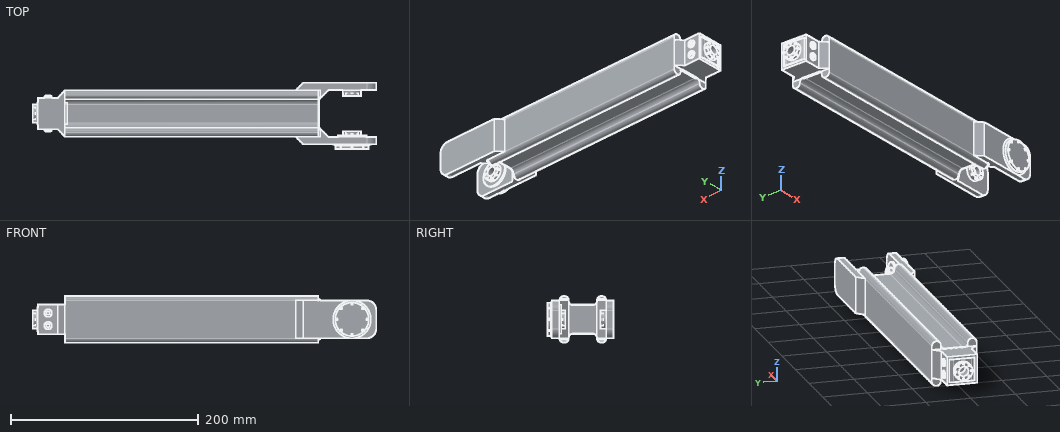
import cadquery as cq
import math

TOTAL_LENGTH = 367.0

BEAM_START = 34.5
BEAM_LENGTH = 270.6
BEAM_END = BEAM_START + BEAM_LENGTH
BEAM_HALF_SIZE = 25.0
RAIL_RADIUS = 4.8
RAIL_WIDTH = 10.0
WEB_HALF_HEIGHT = 15.0
CHANNEL_FILLET = 5.0
RAIL_INNER = BEAM_HALF_SIZE - RAIL_WIDTH
CHANNEL_HALF_FLAT = RAIL_INNER - CHANNEL_FILLET
CHANNEL_SPRING = WEB_HALF_HEIGHT + CHANNEL_FILLET

BRACKET_START = 5.6
BRACKET_HALF_WIDTH = 16.8
BRACKET_HALF_HEIGHT = 16.0
BRACKET_TAPER_START = 26.8
LIP_LENGTH = 2.2
LIP_STEP = 0.6
BRACKET_LIP_HALF_WIDTH = 11.5

ACTUATOR_HALF_WIDTH = 14.2
ACTUATOR_HALF_HEIGHT = 12.8
ACTUATOR_FACE_HALF_WIDTH = 10.0
ACTUATOR_PROUD = 0.9
ACTUATOR_FACE = BRACKET_START - ACTUATOR_PROUD
ACTUATOR_DEPTH = 20.0

HORN_RADIUS = 9.9
HORN_BORE_RADIUS = 5.3
HORN_BORE_DEPTH = 12.0
HORN_HOLE_COUNT = 8
HORN_HOLE_CIRCLE = 8.4
HORN_HOLE_RADIUS = 0.8
HORN_HOLE_DEPTH = 3.0

SCREW_X = 16.5
SCREW_HALF_PITCH = 6.7
SCREW_HEAD_RADIUS = 4.1
SCREW_HEAD_HEIGHT = 3.2
SCREW_DOME_HEIGHT = 2.0
SCREW_DOME_RADIUS = (SCREW_HEAD_RADIUS**2 + SCREW_DOME_HEIGHT**2) / (2 * SCREW_DOME_HEIGHT)
SCREW_SOCKET_SIZE = 3.5
SCREW_SOCKET_DEPTH = 1.8

ARM_THICKNESS = 8.0
ARM_OUTER = BEAM_HALF_SIZE + ARM_THICKNESS
ARM_HALF_HEIGHT = 20.4
ARM_START = 281.0
ARM_CORNER_RADIUS = 10.5
FORK_PLATE_THICKNESS = 0.8
FORK_PLATE_END = BEAM_END + FORK_PLATE_THICKNESS
FORK_TAPER = BEAM_HALF_SIZE - RAIL_INNER
FORK_LIP_RISE = 1.5

PIVOT_X = 341.0
HORN_TIP = 18.7
JOINT_BARREL_RADIUS = 15.5
JOINT_BARREL_TIP = 23.2
JOINT_FLANGE_RADIUS = 20.2
JOINT_FLANGE_THICKNESS = 1.2
JOINT_CAP_RADIUS = 17.9
JOINT_CAP_FACE = 38.0
CAP_HOLE_COUNT = 8
CAP_HOLE_CIRCLE = 16.4
CAP_HOLE_RADIUS = 1.0
CAP_HOLE_DEPTH = 2.0


def box(x0, x1, y0, y1, z0, z1):
    return cq.Workplane("XY").box(x1 - x0, y1 - y0, z1 - z0, centered=False).translate((x0, y0, z0))


def plane_facing(origin, normal):
    """A sketch plane whose local vertical is Z."""
    vertical = cq.Vector(0, 0, 1)
    normal = cq.Vector(*normal)
    return cq.Workplane(cq.Plane(origin=origin, xDir=vertical.cross(normal), normal=normal))


def disc(origin, normal, radius, length):
    return plane_facing(origin, normal).circle(radius).extrude(length)


def hole_ring(face_origin, normal, count, circle, radius, depth):
    """Cutters for a ring of blind holes sunk into a face."""
    return (
        plane_facing(face_origin, normal)
        .polarArray(circle, 0, 360, count)
        .circle(radius)
        .extrude(-depth)
    )


def channel_cutter(start, length):
    """Prism that fills the channel and the space above it, flared by the fillets at its foot."""
    diagonal = CHANNEL_FILLET * math.sqrt(0.5)
    half_foot = CHANNEL_HALF_FLAT + diagonal
    fillet_z = CHANNEL_SPRING - diagonal
    return (
        cq.Workplane("YZ", origin=(start, 0, 0))
        .moveTo(-CHANNEL_HALF_FLAT, WEB_HALF_HEIGHT)
        .lineTo(CHANNEL_HALF_FLAT, WEB_HALF_HEIGHT)
        .threePointArc((half_foot, fillet_z), (RAIL_INNER, CHANNEL_SPRING))
        .lineTo(RAIL_INNER, BEAM_HALF_SIZE)
        .lineTo(-RAIL_INNER, BEAM_HALF_SIZE)
        .lineTo(-RAIL_INNER, CHANNEL_SPRING)
        .threePointArc((-half_foot, fillet_z), (-CHANNEL_HALF_FLAT, WEB_HALF_HEIGHT))
        .close()
        .extrude(length)
    )


def beam_section(start, length):
    """Prism with the section of the beam: a square less two channels, with rounded rail tops."""
    size = 2 * BEAM_HALF_SIZE
    prism = cq.Workplane("YZ", origin=(start, 0, 0)).rect(size, size).extrude(length)
    channel = channel_cutter(start, length)
    prism = prism.cut(channel).cut(channel.mirror("XY"))
    return prism.faces("<Z or >Z").edges("|X").fillet(RAIL_RADIUS)


def make_beam():
    return beam_section(BEAM_START, BEAM_LENGTH)


def add_horn_holes(body, face_origin, normal):
    bore = disc(face_origin, normal, HORN_BORE_RADIUS, -HORN_BORE_DEPTH)
    screws = hole_ring(
        face_origin, normal, HORN_HOLE_COUNT, HORN_HOLE_CIRCLE, HORN_HOLE_RADIUS, HORN_HOLE_DEPTH
    )
    return body.cut(bore).cut(screws)


def actuator_block():
    """Block whose two vertical front corners are rounded from the narrow face to the full width."""
    side_step = ACTUATOR_HALF_WIDTH - ACTUATOR_FACE_HALF_WIDTH
    c = math.sqrt(0.5)
    mid_x = ACTUATOR_FACE + side_step * (1 - c)
    mid_y = ACTUATOR_FACE_HALF_WIDTH + side_step * c
    shoulder = ACTUATOR_FACE + side_step
    back = ACTUATOR_FACE + ACTUATOR_DEPTH
    return (
        cq.Workplane("XY", origin=(0, 0, -ACTUATOR_HALF_HEIGHT))
        .moveTo(ACTUATOR_FACE, ACTUATOR_FACE_HALF_WIDTH)
        .threePointArc((mid_x, mid_y), (shoulder, ACTUATOR_HALF_WIDTH))
        .lineTo(back, ACTUATOR_HALF_WIDTH)
        .lineTo(back, -ACTUATOR_HALF_WIDTH)
        .lineTo(shoulder, -ACTUATOR_HALF_WIDTH)
        .threePointArc((mid_x, -mid_y), (ACTUATOR_FACE, -ACTUATOR_FACE_HALF_WIDTH))
        .close()
        .extrude(2 * ACTUATOR_HALF_HEIGHT)
    )


def make_tip_actuator():
    horn = disc((0, 0, 0), (1, 0, 0), HORN_RADIUS, ACTUATOR_FACE)
    return add_horn_holes(actuator_block().union(horn), (0, 0, 0), (-1, 0, 0))


def make_tip_bracket():
    block = (
        cq.Workplane("XY", origin=(0, 0, -BRACKET_HALF_HEIGHT))
        .moveTo(BRACKET_START, -BRACKET_HALF_WIDTH)
        .lineTo(BRACKET_TAPER_START, -BRACKET_HALF_WIDTH)
        .lineTo(BEAM_START, -BEAM_HALF_SIZE)
        .lineTo(BEAM_START, BEAM_HALF_SIZE)
        .lineTo(BRACKET_TAPER_START, BRACKET_HALF_WIDTH)
        .lineTo(BRACKET_START, BRACKET_HALF_WIDTH)
        .close()
        .extrude(2 * BRACKET_HALF_HEIGHT)
    )
    lip = (
        cq.Workplane("XZ", origin=(0, BRACKET_LIP_HALF_WIDTH, 0))
        .polyline(
            [
                (BEAM_START, -BRACKET_HALF_HEIGHT),
                (BEAM_START, BRACKET_HALF_HEIGHT),
                (BEAM_START + LIP_LENGTH, WEB_HALF_HEIGHT + LIP_STEP),
                (BEAM_START + LIP_LENGTH, -WEB_HALF_HEIGHT - LIP_STEP),
            ]
        )
        .close()
        .extrude(2 * BRACKET_LIP_HALF_WIDTH)
    )
    pocket = box(
        BRACKET_START,
        ACTUATOR_FACE + ACTUATOR_DEPTH,
        -ACTUATOR_HALF_WIDTH,
        ACTUATOR_HALF_WIDTH,
        -ACTUATOR_HALF_HEIGHT,
        ACTUATOR_HALF_HEIGHT,
    )
    return block.union(lip.cut(make_beam())).cut(pocket)


def make_screw(side, z):
    """Domed head with a hexagon socket, on the +Y (side = 1) or -Y (side = -1) face of the bracket."""
    normal = (0, side, 0)
    seat_y = side * BRACKET_HALF_WIDTH
    top_y = seat_y + side * SCREW_HEAD_HEIGHT
    dome = cq.Workplane("XY").sphere(SCREW_DOME_RADIUS)
    dome = dome.translate((SCREW_X, top_y - side * SCREW_DOME_RADIUS, z))
    head = disc((SCREW_X, seat_y, z), normal, SCREW_HEAD_RADIUS, SCREW_HEAD_HEIGHT).intersect(dome)
    socket = plane_facing((SCREW_X, top_y, z), normal).polygon(6, SCREW_SOCKET_SIZE, circumscribed=True)
    return head.cut(socket.extrude(-SCREW_SOCKET_DEPTH))


def make_arm(side):
    """One fork arm with its tapered root, on the +Y (side = 1) or -Y (side = -1) side."""
    arm = (
        cq.Workplane("XY", origin=(0, 0, -ARM_HALF_HEIGHT))
        .moveTo(ARM_START, side * BEAM_HALF_SIZE)
        .lineTo(ARM_START + ARM_THICKNESS, side * ARM_OUTER)
        .lineTo(TOTAL_LENGTH, side * ARM_OUTER)
        .lineTo(TOTAL_LENGTH, side * BEAM_HALF_SIZE)
        .lineTo(FORK_PLATE_END + FORK_TAPER, side * BEAM_HALF_SIZE)
        .lineTo(FORK_PLATE_END, side * RAIL_INNER)
        .lineTo(BEAM_END, side * RAIL_INNER)
        .lineTo(BEAM_END, side * BEAM_HALF_SIZE)
        .close()
        .extrude(2 * ARM_HALF_HEIGHT)
    )
    return arm.edges("|Y and >X").fillet(ARM_CORNER_RADIUS)


def fork_lips():
    """Sloped lips on the arm roots, against the ends of the rails."""
    root = (
        cq.Workplane("XZ", origin=(0, BEAM_HALF_SIZE, 0))
        .polyline(
            [
                (BEAM_END, -ARM_HALF_HEIGHT - FORK_LIP_RISE),
                (BEAM_END, ARM_HALF_HEIGHT + FORK_LIP_RISE),
                (BEAM_END + LIP_LENGTH, ARM_HALF_HEIGHT + LIP_STEP),
                (BEAM_END + LIP_LENGTH, -ARM_HALF_HEIGHT - LIP_STEP),
            ]
        )
        .close()
        .extrude(2 * BEAM_HALF_SIZE)
    )
    inner = RAIL_INNER + LIP_LENGTH
    lip_end = BEAM_END + LIP_LENGTH
    gap = box(BEAM_END, lip_end, -inner, inner, -BEAM_HALF_SIZE, BEAM_HALF_SIZE)
    return root.cut(gap).intersect(beam_section(BEAM_END, LIP_LENGTH))


def make_fork():
    plate = beam_section(BEAM_END, FORK_PLATE_THICKNESS).intersect(
        box(BEAM_END, FORK_PLATE_END, -BEAM_HALF_SIZE, BEAM_HALF_SIZE, -ARM_HALF_HEIGHT, ARM_HALF_HEIGHT)
    )
    fork = plate.union(make_arm(1)).union(make_arm(-1)).union(fork_lips())
    barrel_hole = disc((PIVOT_X, -ARM_OUTER, 0), (0, 1, 0), JOINT_BARREL_RADIUS, ARM_THICKNESS)
    return fork.cut(barrel_hole)


def make_joint_actuator():
    """Turned body that passes through the -Y arm, with a cap outside and a horn inside."""
    flange_rim = -ARM_OUTER - JOINT_FLANGE_THICKNESS
    body = (
        cq.Workplane("XY")
        .moveTo(0, -JOINT_CAP_FACE)
        .lineTo(JOINT_CAP_RADIUS, -JOINT_CAP_FACE)
        .lineTo(JOINT_CAP_RADIUS, flange_rim)
        .lineTo(JOINT_FLANGE_RADIUS, -ARM_OUTER)
        .lineTo(JOINT_BARREL_RADIUS, -ARM_OUTER)
        .lineTo(JOINT_BARREL_RADIUS, -JOINT_BARREL_TIP)
        .lineTo(HORN_RADIUS, -JOINT_BARREL_TIP)
        .lineTo(HORN_RADIUS, -HORN_TIP)
        .lineTo(0, -HORN_TIP)
        .close()
        .revolve(360, (0, 0, 0), (0, 1, 0))
        .translate((PIVOT_X, 0, 0))
    )
    cap_holes = hole_ring(
        (PIVOT_X, -JOINT_CAP_FACE, 0),
        (0, -1, 0),
        CAP_HOLE_COUNT,
        CAP_HOLE_CIRCLE,
        CAP_HOLE_RADIUS,
        CAP_HOLE_DEPTH,
    )
    return add_horn_holes(body.cut(cap_holes), (PIVOT_X, -HORN_TIP, 0), (0, 1, 0))


def make_idler():
    """Horn-shaped boss on the inner face of the +Y arm."""
    boss = disc((PIVOT_X, HORN_TIP, 0), (0, 1, 0), HORN_RADIUS, BEAM_HALF_SIZE - HORN_TIP)
    return add_horn_holes(boss, (PIVOT_X, HORN_TIP, 0), (0, -1, 0))


beam = make_beam()
tip_bracket = make_tip_bracket()
tip_actuator = make_tip_actuator()
screws = [make_screw(side, z) for side in (1, -1) for z in (SCREW_HALF_PITCH, -SCREW_HALF_PITCH)]
fork = make_fork()
joint_actuator = make_joint_actuator()
idler = make_idler()

result = cq.Compound.makeCompound(
    [
        beam.val(),
        tip_bracket.val(),
        tip_actuator.val(),
        *[screw.val() for screw in screws],
        fork.val(),
        joint_actuator.val(),
        idler.val(),
    ]
)